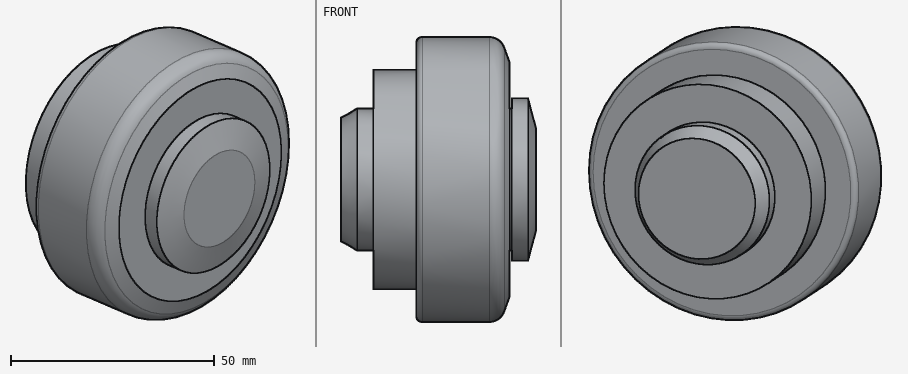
import cadquery as cq
import math


stem_taper_end = 4.0
shoulder_start = 8.0
ring_start = 18.5
ring_end = 41.5
cap_start = 42.0
cap_rim_end = 46.0
overall_length = 48.0

stem_diameter = 35.0
shoulder_diameter = 54.0
ring_diameter = 70.1
ring_end_face_diameter = 57.5
neck_diameter = 35.0
cap_diameter = 40.0

stem_taper_angle = math.radians(30.0)
ring_cone_angle = math.radians(20.0)
cap_cone_angle = math.radians(15.0)
ring_inner_fillet = 1.5
ring_outer_fillet = 4.0


def revolve_about_x(profile):
    """Turn a closed half profile (x along the axis, y radial) into a solid."""
    return profile.close().revolve(360, (0, 0, 0), (1, 0, 0))


def cylinder(start, end, diameter):
    return cq.Workplane("YZ", origin=(start, 0, 0)).circle(diameter / 2).extrude(end - start)


def make_stem():
    """Mounting stem with a tapered lead-in, running up to the shoulder."""
    radius = stem_diameter / 2
    tip_radius = radius - stem_taper_end * math.tan(stem_taper_angle)
    profile = (
        cq.Workplane("XY")
        .lineTo(0, tip_radius)
        .lineTo(stem_taper_end, radius)
        .lineTo(shoulder_start, radius)
        .lineTo(shoulder_start, 0)
    )
    return revolve_about_x(profile)


def make_ring():
    """Outer running ring: small fillet at one edge, large fillet blending into a cone at the other."""
    radius = ring_diameter / 2
    end_face_radius = ring_end_face_diameter / 2

    inner_center_x = ring_start + ring_inner_fillet
    inner_center_r = radius - ring_inner_fillet
    inner_offset = ring_inner_fillet * math.sqrt(0.5)

    cone_corner_x = ring_end - (radius - end_face_radius) * math.tan(ring_cone_angle)
    sweep = math.pi / 2 - ring_cone_angle
    outer_center_x = cone_corner_x - ring_outer_fillet * math.tan(sweep / 2)
    outer_center_r = radius - ring_outer_fillet

    def outer_round_point(angle):
        x = outer_center_x + ring_outer_fillet * math.sin(angle)
        r = outer_center_r + ring_outer_fillet * math.cos(angle)
        return (x, r)

    profile = (
        cq.Workplane("XY")
        .moveTo(ring_start, 0)
        .lineTo(ring_start, inner_center_r)
        .threePointArc(
            (inner_center_x - inner_offset, inner_center_r + inner_offset),
            (inner_center_x, radius),
        )
        .lineTo(outer_center_x, radius)
        .threePointArc(outer_round_point(sweep / 2), outer_round_point(sweep))
        .lineTo(ring_end, end_face_radius)
        .lineTo(ring_end, 0)
    )
    return revolve_about_x(profile)


def make_cap():
    """End cap: short cylindrical rim followed by a shallow cone and a flat end."""
    radius = cap_diameter / 2
    end_radius = radius - (overall_length - cap_rim_end) / math.tan(cap_cone_angle)
    profile = (
        cq.Workplane("XY")
        .moveTo(cap_start, 0)
        .lineTo(cap_start, radius)
        .lineTo(cap_rim_end, radius)
        .lineTo(overall_length, end_radius)
        .lineTo(overall_length, 0)
    )
    return revolve_about_x(profile)


shoulder = cylinder(shoulder_start, ring_start, shoulder_diameter)
neck = cylinder(ring_end, cap_start, neck_diameter)

result = make_stem().union(shoulder).union(make_ring()).union(neck).union(make_cap())